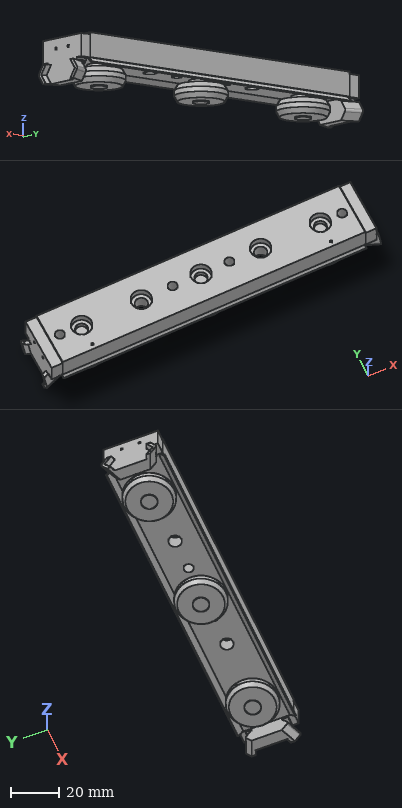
import cadquery as cq
import math

OVERALL_LENGTH = 154.0
BODY_LENGTH = 139.5
BODY_WIDTH = 24.5
TOP_Z = 19.7
BODY_BOTTOM_Z = 9.2

ROLLER_PITCH = 55.0
ROLLER_DIAMETER = 22.3
ROLLER_FACE_DIAMETER = 19.7
ROLLER_BOTTOM_Z = 0.5
ROLLER_RIM_BOTTOM_Z = 2.8
ROLLER_RIM_TOP_Z = 5.0
ROLLER_TOP_Z = ROLLER_RIM_TOP_Z + ROLLER_RIM_BOTTOM_Z - ROLLER_BOTTOM_Z
ROLLER_CAP_DIAMETER = 7.0
HUB_DIAMETER = 10.0
STUD_TOP_Z = 13.9

BORE_DIAMETER = 5.5
COUNTERBORE_DIAMETER = 9.0
COUNTERBORE_DEPTH = 3.5
BORE_PITCH = ROLLER_PITCH / 2
PLAIN_HOLE_DIAMETER = 4.2
PLAIN_HOLE_XS = (13.1, 65.0)
PIN_HOLE_DIAMETER = 1.0
PIN_HOLE_DEPTH = 3.1
TOP_PIN_HOLE_Y = -10.0

STRIP_SPAN = 26.3
STRIP_THICKNESS = 0.6
STRIP_TIP_Z = 7.0

HEAD_LENGTH = 5.1
HEAD_TOP_Z = 18.8
HEAD_BOTTOM_Z = 9.1
NECK_WIDTH = 19.1
HEAD_PIN_HOLE_Y = 4.0
HEAD_PIN_HOLE_Z = 14.5

PLATE_TOP_Z = 8.2
PLATE_TIP_Z = PLATE_TOP_Z / 2
PLATE_TIP_Y = 12.6
PLATE_ROOT_Y = 9.7
PLATE_TIP_RADIUS = 1.4
LIP_WIDTH = 1.8
FLARE_ANGLE = 22.0


def make_body():
    """Plain bar with a row of counterbored bores, plain holes and small pin holes."""
    bore_points = [(i * BORE_PITCH, 0) for i in range(-2, 3)]
    plain_points = [(side * x, 0) for x in PLAIN_HOLE_XS for side in (-1, 1)]
    pin_points = [(side * ROLLER_PITCH, TOP_PIN_HOLE_Y) for side in (-1, 1)]
    return (
        cq.Workplane("XY", origin=(0, 0, BODY_BOTTOM_Z))
        .rect(BODY_LENGTH, BODY_WIDTH)
        .extrude(TOP_Z - BODY_BOTTOM_Z)
        .faces(">Z")
        .workplane(centerOption="CenterOfBoundBox")
        .pushPoints(bore_points)
        .cboreHole(BORE_DIAMETER, COUNTERBORE_DIAMETER, COUNTERBORE_DEPTH)
        .pushPoints(plain_points)
        .hole(PLAIN_HOLE_DIAMETER)
        .pushPoints(pin_points)
        .hole(PIN_HOLE_DIAMETER, PIN_HOLE_DEPTH)
    )


def make_roller(x):
    """Roller with sloped shoulders, a hub against the body and a stud in the bore above it."""
    rim = ROLLER_DIAMETER / 2
    face = ROLLER_FACE_DIAMETER / 2
    profile = [
        (0, 0),
        (ROLLER_CAP_DIAMETER / 2, 0),
        (ROLLER_CAP_DIAMETER / 2, ROLLER_BOTTOM_Z),
        (face, ROLLER_BOTTOM_Z),
        (rim, ROLLER_RIM_BOTTOM_Z),
        (rim, ROLLER_RIM_TOP_Z),
        (face, ROLLER_TOP_Z),
        (HUB_DIAMETER / 2, ROLLER_TOP_Z),
        (HUB_DIAMETER / 2, BODY_BOTTOM_Z),
        (BORE_DIAMETER / 2, BODY_BOTTOM_Z),
        (BORE_DIAMETER / 2, STUD_TOP_Z),
        (0, STUD_TOP_Z),
    ]
    roller = cq.Workplane("XZ").polyline(profile).close().revolve(360, (0, 0, 0), (0, 1, 0))
    return roller.translate((x, 0, 0))


def make_strip(side):
    """Thin flap that hangs from the underside of the body along one long edge."""
    tip_y = STRIP_SPAN / 2
    tip_drop = STRIP_THICKNESS / math.sqrt(2)
    upper_tip_z = STRIP_TIP_Z + tip_drop
    outer_root_y = tip_y - (BODY_BOTTOM_Z - upper_tip_z)
    inner_root_y = outer_root_y - STRIP_THICKNESS * math.sqrt(2)
    profile = [
        (side * inner_root_y, BODY_BOTTOM_Z),
        (side * outer_root_y, BODY_BOTTOM_Z),
        (side * tip_y, upper_tip_z),
        (side * (tip_y - tip_drop), STRIP_TIP_Z),
    ]
    strip = cq.Workplane("YZ", origin=(-BODY_LENGTH / 2, 0, 0)).polyline(profile).close()
    return strip.extrude(BODY_LENGTH)


def make_flared_hexagon(near_x, far_x, lip_inset):
    """Hexagonal block that follows the flare, set in from the outside of the plate by lip_inset."""

    def outline(x):
        flare_loss = (OVERALL_LENGTH / 2 - x) * math.tan(math.radians(FLARE_ANGLE))
        root_y = PLATE_ROOT_Y - lip_inset - flare_loss
        tip_y = PLATE_TIP_Y - lip_inset - flare_loss
        points = [
            (x, -root_y, PLATE_TOP_Z),
            (x, root_y, PLATE_TOP_Z),
            (x, tip_y, PLATE_TIP_Z),
            (x, root_y, 0),
            (x, -root_y, 0),
            (x, -tip_y, PLATE_TIP_Z),
        ]
        return cq.Wire.makePolygon([cq.Vector(*point) for point in points], close=True)

    return cq.Workplane(cq.Solid.makeLoft([outline(near_x), outline(far_x)], True))


def make_plate():
    """Flared plate with rounded tips, hollowed at its outer end so that only the lips reach out."""
    plate = make_flared_hexagon(BODY_LENGTH / 2, OVERALL_LENGTH / 2, 0)
    tip_edges = plate.edges("not #X").edges("not (>Z or <Z)")
    plate = tip_edges.fillet(PLATE_TIP_RADIUS)
    hollow = make_flared_hexagon(BODY_LENGTH / 2 + HEAD_LENGTH, OVERALL_LENGTH / 2, LIP_WIDTH)
    return plate.cut(hollow)


def make_head(side):
    """End head: a block on the end of the body, a neck and the flared plate below it."""
    plane = cq.Workplane("YZ", origin=(BODY_LENGTH / 2, 0, 0))
    block = plane.center(0, (HEAD_TOP_Z + HEAD_BOTTOM_Z) / 2)
    block = block.rect(BODY_WIDTH, HEAD_TOP_Z - HEAD_BOTTOM_Z).extrude(HEAD_LENGTH)
    neck = plane.center(0, (HEAD_BOTTOM_Z + PLATE_TOP_Z) / 2)
    neck = neck.rect(NECK_WIDTH, HEAD_BOTTOM_Z - PLATE_TOP_Z).extrude(HEAD_LENGTH)
    head = block.union(neck).union(make_plate())

    pin_points = [(y_side * HEAD_PIN_HOLE_Y, HEAD_PIN_HOLE_Z) for y_side in (-1, 1)]
    pin_holes = plane.pushPoints(pin_points).circle(PIN_HOLE_DIAMETER / 2).extrude(HEAD_LENGTH)
    head = head.cut(pin_holes)
    return head if side > 0 else head.mirror("YZ")


body = make_body()
rollers = [make_roller(i * ROLLER_PITCH) for i in (-1, 0, 1)]
strips = [make_strip(side) for side in (-1, 1)]
heads = [make_head(side) for side in (-1, 1)]

result = cq.Compound.makeCompound(
    [body.val()]
    + [roller.val() for roller in rollers]
    + [strip.val() for strip in strips]
    + [head.val() for head in heads]
)